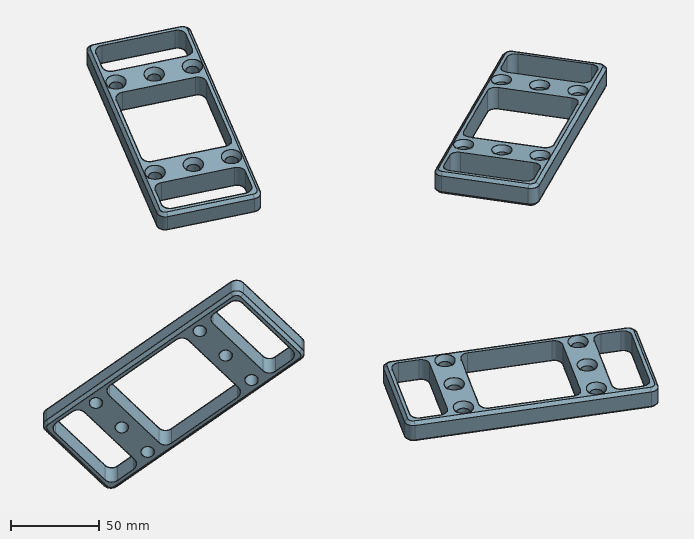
import cadquery as cq

length = 147.5
width = 61.2
height = 14.0
corner_radius = 5.0
edge_chamfer = 1.9

wall = 4.0
rib_width = 18.3
center_window_length = 59.1
window_radius = 5.0
window_width = width - 2 * wall
end_window_length = (length - center_window_length) / 2 - rib_width - wall
end_window_x = length / 2 - wall - end_window_length / 2

hole_diameter = 7.5
countersink_diameter = 11.5
countersink_depth = 3.5
hole_pitch = 22.5
rib_x = (center_window_length + rib_width) / 2


def make_frame():
    """Rounded plate with chamfered top and bottom outer edges."""
    plate = cq.Workplane("XY").box(length, width, height, centered=(True, True, False))
    return plate.edges("|Z").fillet(corner_radius).faces("<Z or >Z").edges().chamfer(edge_chamfer)


def make_window(window_length, x):
    """Through cutter with rounded vertical corners."""
    window = cq.Workplane("XY").box(window_length, window_width, height, centered=(True, True, False))
    return window.edges("|Z").fillet(window_radius).translate((x, 0, 0))


def make_hole(x, y):
    """Through bore that flares out in a cone at the top face."""
    bore_radius = hole_diameter / 2
    mouth_radius = countersink_diameter / 2
    profile = (
        cq.Workplane("XZ")
        .lineTo(bore_radius, 0)
        .lineTo(bore_radius, height - countersink_depth)
        .lineTo(mouth_radius, height)
        .lineTo(0, height)
        .close()
    )
    return profile.revolve(360, (0, 0, 0), (0, 1, 0)).translate((x, y, 0))


result = make_frame().cut(make_window(center_window_length, 0))
for side in (-1, 1):
    result = result.cut(make_window(end_window_length, side * end_window_x))
    for row in (-1, 0, 1):
        result = result.cut(make_hole(side * rib_x, row * hole_pitch))